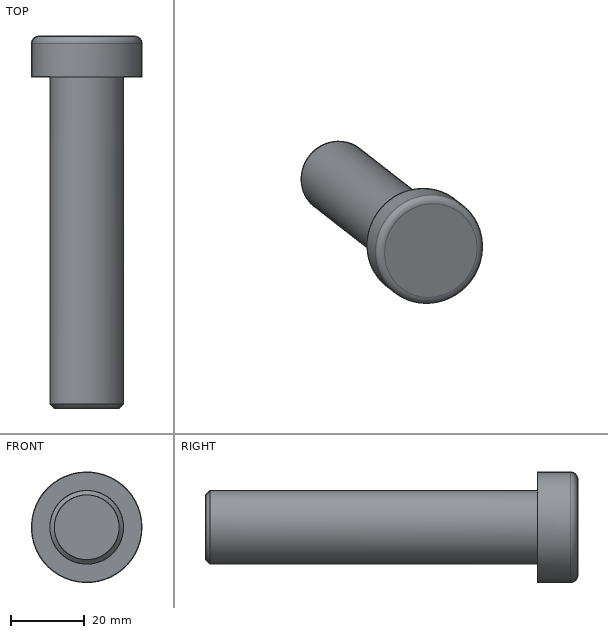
import cadquery as cq

total_length = 101.0
head_diameter = 30.0
head_length = 11.0
head_edge_radius = 2.0
shank_diameter = 20.0
tip_chamfer = 1.2

shank_length = total_length - head_length


def make_shank():
    """Plain cylinder from Y = 0, with a chamfered tip."""
    shank = cq.Workplane("XZ").circle(shank_diameter / 2).extrude(-shank_length)
    return shank.faces("<Y").chamfer(tip_chamfer)


def make_head():
    """Wider cylinder beyond the shank, with its outer end rounded over."""
    head = cq.Workplane("XZ", origin=(0, shank_length, 0)).circle(head_diameter / 2).extrude(-head_length)
    return head.faces(">Y").edges().fillet(head_edge_radius)


result = make_shank().union(make_head())